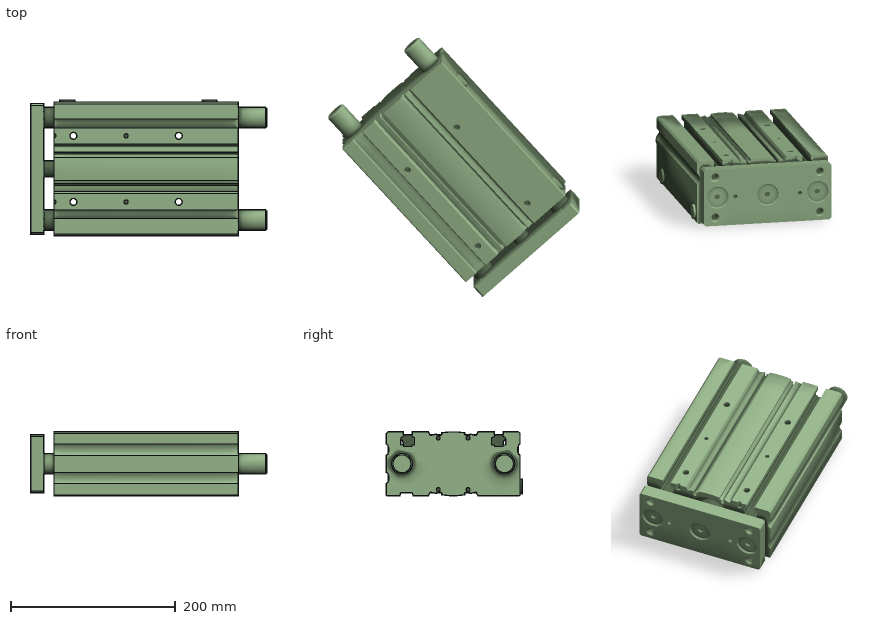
import cadquery as cq
import math


TOTAL_LENGTH = 286.5
CUT_MARGIN = 3.0

PLATE_THICKNESS = 16.0
PLATE_WIDTH = 158.7
PLATE_HEIGHT = 70.5
PLATE_CHAMFER = 2.3
MOUNT_HOLE_RADIUS = 4.3
MOUNT_HOLE_CHAMFER = 1.1
MOUNT_HOLE_Y = 65.0
MOUNT_HOLE_Z = 25.2
SOCKET_CHAMFER = 1.0

GUIDE_RADIUS = 12.5
GUIDE_Y = 62.2
PISTON_ROD_RADIUS = 10.0
ROD_RECESS = 2.5
ROD_END_CHAMFER = 1.7
CENTRE_HOLE_RADIUS = 3.2
CENTRE_HOLE_DEPTH = 4.3

HOUSING_START = 28.0
HOUSING_LENGTH = 224.0
HOUSING_END = HOUSING_START + HOUSING_LENGTH
HOUSING_WIDTH = 162.5
HOUSING_HEIGHT = 78.0
HALF_WIDTH = HOUSING_WIDTH / 2
HALF_HEIGHT = HOUSING_HEIGHT / 2
TOP_EDGE_CHAMFER = 2.3
BOTTOM_EDGE_CHAMFER = 1.1

CROWN_RADIUS = 80.2
CROWN_CENTRE_Z = HALF_HEIGHT - CROWN_RADIUS
CROWN_WALL_TOP_Y = 30.0
CROWN_WALL_FOOT_Y = 27.5

SENSOR_RIM_OUTER_Y = 20.3
SENSOR_SLIT_OUTER_Y = 19.8
SENSOR_SLIT_INNER_Y = 17.8
SENSOR_RIM_INNER_Y = 14.0
SENSOR_OUTER_LIP_Z = 34.5
SENSOR_INNER_LIP_Z = 33.5
SENSOR_SLOPE_TOP_Z = 35.2
SENSOR_BORE_RADIUS = 2.3
SENSOR_BORE_Y = 18.0
SENSOR_BORE_Z = 31.2

T_SLOT_INNER_Y = 49.9
T_SLOT_OUTER_Y = 60.5
T_SLOT_UNDERCUT = 3.2
T_SLOT_LIP_Z = 33.2
T_SLOT_UNDERCUT_Z = 31.5
T_SLOT_LEDGE_Z = 23.0
T_SLOT_FLOOR_Z = 21.2

BOTTOM_SLOT_INNER_Y = 48.7
BOTTOM_SLOT_OUTER_Y = 64.7
BOTTOM_SLOT_TAPER = 1.5
BOTTOM_SLOT_DEPTH = 4.3

SIDE_GROOVE_Z = 17.2
SIDE_GROOVE_WIDTH = 13.8
SIDE_GROOVE_DEPTH = 3.5

HOLE_ROW_Y = 40.0
THROUGH_HOLE_RADIUS = 4.0
THROUGH_HOLE_XS = (51.9, 179.5)
PIN_HOLE_RADIUS = 2.5
PIN_HOLE_X = (THROUGH_HOLE_XS[0] + THROUGH_HOLE_XS[1]) / 2
PIN_HOLE_DEPTH = 8.5
END_NOTCH_DEPTH = 8.5

PORT_RADIUS = 9.2
PORT_HEIGHT = 2.5
PORT_XS = (44.5, 217.0)
PORT_Z = -27.5

GLAND_RADIUS = 32.5
GLAND_LENGTH = 23.0
GLAND_CUP_RADIUS = 31.2
GLAND_CUP_DEPTH = 11.5
GLAND_COLLAR_RADIUS = 18.5


def x_cylinder(radius, x_start, x_end, y=0.0, z=0.0):
    """Cylinder along X between two X positions."""
    return cq.Workplane("YZ", origin=(x_start, y, z)).circle(radius).extrude(x_end - x_start)


def z_hole(radius, x, y, depth):
    """Cutting cylinder that goes down from the housing's top face."""
    return cq.Workplane("XY", origin=(x, y, HALF_HEIGHT - depth)).circle(radius).extrude(depth + CUT_MARGIN)


def lengthwise(outline):
    """Extrude a closed YZ outline, drawn at the housing's front face, along the whole housing."""
    return outline.close().extrude(HOUSING_LENGTH)


def housing_plane():
    return cq.Workplane("YZ", origin=(HOUSING_START, 0, 0))


def crown_height(y):
    """Height of the crown's arc at y."""
    return CROWN_CENTRE_Z + math.sqrt(CROWN_RADIUS**2 - y**2)


def crown_relief():
    """Material removed above the arched crown, between its two sloped walls."""
    foot_z = crown_height(CROWN_WALL_FOOT_Y)
    outline = (
        housing_plane()
        .moveTo(CROWN_WALL_TOP_Y, HALF_HEIGHT)
        .lineTo(CROWN_WALL_FOOT_Y, foot_z)
        .threePointArc((0, HALF_HEIGHT), (-CROWN_WALL_FOOT_Y, foot_z))
        .lineTo(-CROWN_WALL_TOP_Y, HALF_HEIGHT)
        .lineTo(-CROWN_WALL_TOP_Y, HALF_HEIGHT + CUT_MARGIN)
        .lineTo(CROWN_WALL_TOP_Y, HALF_HEIGHT + CUT_MARGIN)
    )
    return lengthwise(outline)


def sensor_groove():
    """Keyhole groove on the +Y half of the crown: a flared mouth, a slit and a round bore."""
    mouth = housing_plane().polyline([
        (SENSOR_RIM_OUTER_Y, HALF_HEIGHT),
        (SENSOR_RIM_OUTER_Y, crown_height(SENSOR_RIM_OUTER_Y)),
        (SENSOR_SLIT_OUTER_Y, SENSOR_OUTER_LIP_Z),
        (SENSOR_SLIT_OUTER_Y, SENSOR_BORE_Z),
        (SENSOR_SLIT_INNER_Y, SENSOR_BORE_Z),
        (SENSOR_SLIT_INNER_Y, SENSOR_INNER_LIP_Z),
        (SENSOR_RIM_INNER_Y, SENSOR_SLOPE_TOP_Z),
        (SENSOR_RIM_INNER_Y, HALF_HEIGHT),
    ])
    bore = x_cylinder(SENSOR_BORE_RADIUS, HOUSING_START, HOUSING_END, SENSOR_BORE_Y, SENSOR_BORE_Z)
    return lengthwise(mouth).union(bore)


def t_slot():
    """T-slot on the +Y half of the top, with sloped lips and a ledge along each side of its floor."""
    undercut_inner_y = T_SLOT_INNER_Y - T_SLOT_UNDERCUT
    undercut_outer_y = T_SLOT_OUTER_Y + T_SLOT_UNDERCUT
    outline = housing_plane().polyline([
        (T_SLOT_INNER_Y, HALF_HEIGHT + CUT_MARGIN),
        (T_SLOT_INNER_Y, T_SLOT_LIP_Z),
        (undercut_inner_y, T_SLOT_UNDERCUT_Z),
        (undercut_inner_y, T_SLOT_LEDGE_Z),
        (T_SLOT_INNER_Y, T_SLOT_LEDGE_Z),
        (T_SLOT_INNER_Y, T_SLOT_FLOOR_Z),
        (T_SLOT_OUTER_Y, T_SLOT_FLOOR_Z),
        (T_SLOT_OUTER_Y, T_SLOT_LEDGE_Z),
        (undercut_outer_y, T_SLOT_LEDGE_Z),
        (undercut_outer_y, T_SLOT_UNDERCUT_Z),
        (T_SLOT_OUTER_Y, T_SLOT_LIP_Z),
        (T_SLOT_OUTER_Y, HALF_HEIGHT + CUT_MARGIN),
    ])
    return lengthwise(outline)


def bottom_slot():
    """Slot in the bottom that narrows toward its floor."""
    floor_z = BOTTOM_SLOT_DEPTH - HALF_HEIGHT
    outline = housing_plane().polyline([
        (-BOTTOM_SLOT_INNER_Y, -HALF_HEIGHT),
        (-BOTTOM_SLOT_INNER_Y - BOTTOM_SLOT_TAPER, floor_z),
        (-BOTTOM_SLOT_OUTER_Y + BOTTOM_SLOT_TAPER, floor_z),
        (-BOTTOM_SLOT_OUTER_Y, -HALF_HEIGHT),
    ])
    return lengthwise(outline)


def side_groove(side, z):
    """Arc-bottomed groove in the +Y (side = 1) or -Y (side = -1) face."""
    half = SIDE_GROOVE_WIDTH / 2
    face_y = side * HALF_WIDTH
    outline = (
        housing_plane()
        .moveTo(face_y, z - half)
        .threePointArc((face_y - side * SIDE_GROOVE_DEPTH, z), (face_y, z + half))
    )
    return lengthwise(outline)


def make_housing():
    housing = cq.Workplane("XY").box(HOUSING_LENGTH, HOUSING_WIDTH, HOUSING_HEIGHT)
    housing = housing.translate((HOUSING_START + HOUSING_LENGTH / 2, 0, 0))
    housing = housing.edges("|X and >Z").chamfer(TOP_EDGE_CHAMFER)
    housing = housing.edges("|X and <Z").chamfer(BOTTOM_EDGE_CHAMFER)

    relief = crown_relief()
    housing = housing.cut(relief).cut(relief.mirror("XY"))
    groove = sensor_groove()
    for top_groove in (groove, groove.mirror("XZ")):
        housing = housing.cut(top_groove).cut(top_groove.mirror("XY"))
    slot = t_slot()
    housing = housing.cut(slot).cut(slot.mirror("XZ"))
    housing = housing.cut(bottom_slot())
    for side, z in ((1, SIDE_GROOVE_Z), (-1, SIDE_GROOVE_Z), (-1, -SIDE_GROOVE_Z)):
        housing = housing.cut(side_groove(side, z))

    for y in (GUIDE_Y, -GUIDE_Y):
        housing = housing.cut(x_cylinder(GUIDE_RADIUS, HOUSING_START, HOUSING_END, y))
    housing = housing.cut(x_cylinder(GLAND_RADIUS, HOUSING_START, HOUSING_START + GLAND_LENGTH))

    for y in (HOLE_ROW_Y, -HOLE_ROW_Y):
        for x in THROUGH_HOLE_XS:
            housing = housing.cut(z_hole(THROUGH_HOLE_RADIUS, x, y, HOUSING_HEIGHT))
        housing = housing.cut(z_hole(PIN_HOLE_RADIUS, PIN_HOLE_X, y, PIN_HOLE_DEPTH))
        housing = housing.cut(z_hole(PIN_HOLE_RADIUS, HOUSING_START, y, END_NOTCH_DEPTH))

    for x in PORT_XS:
        boss = cq.Workplane("XZ", origin=(x, HALF_WIDTH + PORT_HEIGHT, PORT_Z))
        housing = housing.union(boss.circle(PORT_RADIUS).extrude(PORT_HEIGHT + CUT_MARGIN))
    return housing


def make_plate():
    plate = cq.Workplane("XY").box(PLATE_THICKNESS, PLATE_WIDTH, PLATE_HEIGHT)
    plate = plate.translate((PLATE_THICKNESS / 2, 0, 0)).edges("|X").chamfer(PLATE_CHAMFER)

    def chamfered_hole(radius, chamfer, y, z):
        """Through hole whose rim is chamfered on the outer face."""
        rim = cq.Workplane("YZ", origin=(0, y, z)).circle(radius + chamfer)
        rim = rim.workplane(offset=chamfer).circle(radius).loft()
        return x_cylinder(radius, 0, PLATE_THICKNESS, y, z).union(rim)

    for y in (-GUIDE_Y, 0, GUIDE_Y):
        plate = plate.cut(chamfered_hole(GUIDE_RADIUS, SOCKET_CHAMFER, y, 0))
    for y in (-MOUNT_HOLE_Y, MOUNT_HOLE_Y):
        for z in (-MOUNT_HOLE_Z, MOUNT_HOLE_Z):
            plate = plate.cut(chamfered_hole(MOUNT_HOLE_RADIUS, MOUNT_HOLE_CHAMFER, y, z))
    for y in (-HOLE_ROW_Y, HOLE_ROW_Y):
        plate = plate.cut(x_cylinder(PIN_HOLE_RADIUS, 0, PIN_HOLE_DEPTH, y))
    return plate


def centre_hole(y):
    """Blind hole in the plate end of a rod."""
    return x_cylinder(CENTRE_HOLE_RADIUS, ROD_RECESS, ROD_RECESS + CENTRE_HOLE_DEPTH, y)


def make_guide_rod(y):
    rod = x_cylinder(GUIDE_RADIUS, ROD_RECESS, TOTAL_LENGTH, y)
    return rod.faces(">X").chamfer(ROD_END_CHAMFER).cut(centre_hole(y))


def make_piston_rod():
    """Rod that ends at the back of the gland, with a wider head inside the plate."""
    head = x_cylinder(GUIDE_RADIUS, ROD_RECESS, PLATE_THICKNESS)
    shank = x_cylinder(PISTON_ROD_RADIUS, PLATE_THICKNESS, HOUSING_START + GLAND_LENGTH)
    return head.union(shank).cut(centre_hole(0))


def make_gland():
    """Cup-shaped gland with a collar around the piston rod."""
    gland_end = HOUSING_START + GLAND_LENGTH
    cup_end = HOUSING_START + GLAND_CUP_DEPTH
    cup = x_cylinder(GLAND_CUP_RADIUS, HOUSING_START, cup_end)
    collar = x_cylinder(GLAND_COLLAR_RADIUS, HOUSING_START, cup_end)
    gland = x_cylinder(GLAND_RADIUS, HOUSING_START, gland_end).cut(cup.cut(collar))
    return gland.cut(x_cylinder(PISTON_ROD_RADIUS, HOUSING_START, gland_end))


housing = make_housing()
plate = make_plate()
guide_rods = [make_guide_rod(y) for y in (-GUIDE_Y, GUIDE_Y)]
piston_rod = make_piston_rod()
gland = make_gland()

result = cq.Compound.makeCompound([
    housing.val(),
    plate.val(),
    *[rod.val() for rod in guide_rods],
    piston_rod.val(),
    gland.val(),
])